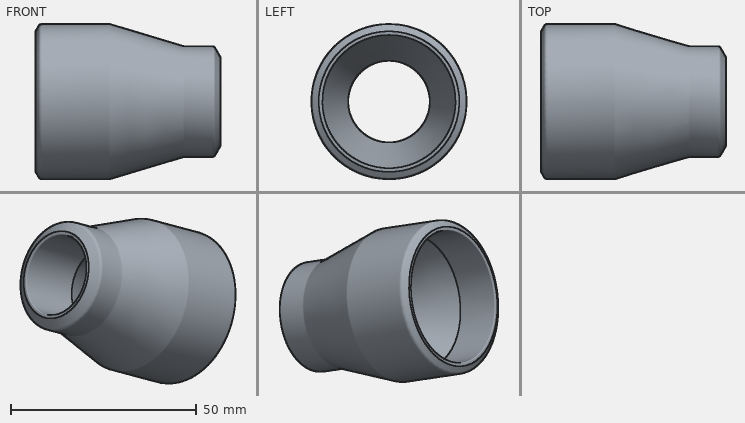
import cadquery as cq
import math

length = 50.0
large_outer_radius = 21.0
large_bore_radius = 18.0
small_outer_radius = 15.0
small_bore_radius = 11.0

taper_length = 20.0
taper_start = 20.0
taper_end = taper_start + taper_length
bore_taper_start = 12.0
bore_taper_end = bore_taper_start + taper_length

land_width = 1.0
bevel_angle = math.radians(30)
edge_round = 1.0
bore_edge_round = 0.25

selection_margin = 0.05

large_land_radius = large_bore_radius + land_width
small_land_radius = small_bore_radius + land_width
large_bevel_depth = (large_outer_radius - large_land_radius) * math.tan(bevel_angle)
small_bevel_depth = (small_outer_radius - small_land_radius) * math.tan(bevel_angle)


def revolve_about_x(points):
    """Turn a closed (x, radius) outline into a solid about the X axis."""
    return cq.Workplane("XZ").polyline(points).close().revolve(360, (0, 0, 0), (1, 0, 0))


def edges_at(x, radius):
    """Select the circular edge with the given axial position and radius."""
    reach = selection_margin + radius
    return cq.selectors.BoxSelector(
        (x - selection_margin, -reach, -reach),
        (x + selection_margin, reach, reach),
        boundingbox=True,
    )


outer = revolve_about_x([
    (0, 0),
    (0, large_land_radius),
    (large_bevel_depth, large_outer_radius),
    (taper_start, large_outer_radius),
    (taper_end, small_outer_radius),
    (length - small_bevel_depth, small_outer_radius),
    (length, small_land_radius),
    (length, 0),
])
for x, radius in [
    (large_bevel_depth, large_outer_radius),
    (taper_start, large_outer_radius),
    (taper_end, small_outer_radius),
    (length - small_bevel_depth, small_outer_radius),
]:
    outer = outer.edges(edges_at(x, radius)).fillet(edge_round)

bore = revolve_about_x([
    (0, 0),
    (0, large_bore_radius),
    (bore_taper_start, large_bore_radius),
    (bore_taper_end, small_bore_radius),
    (length, small_bore_radius),
    (length, 0),
])
result = outer.cut(bore)

for x, radius in [(0, large_bore_radius), (length, small_bore_radius)]:
    result = result.edges(edges_at(x, radius)).fillet(bore_edge_round)